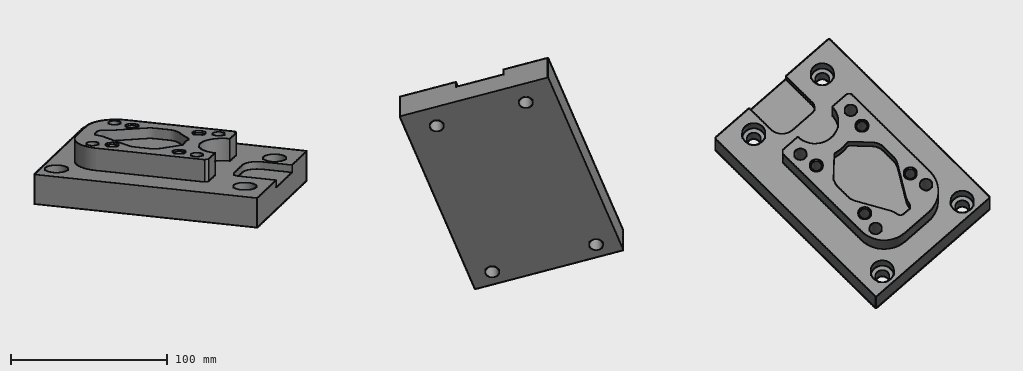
import cadquery as cq
import math

plate_length = 150.0
plate_width = 100.0
total_height = 35.0
boss_height = 15.0
plate_height = total_height - boss_height
plate_corner_chamfer = 0.5

boss_left = 15.0
boss_right = 110.0
boss_half_width = 30.0
boss_left_radius = 20.0
boss_right_chamfer = 2.0
notch_radius = 15.0

pocket_depth = 7.0
pocket_left = 25.0
pocket_half_width = 20.0
nose_half_width = 4.6
flare_start_half_width = 5.8
flare_start = 30.8
flare_angle = 30.0
wall_arc_radius = 25.0
wall_end_half_width = 6.0
taper_angle = 45.0
nose_radius = 3.0
flare_start_radius = 12.0
shoulder_radius = 10.0
wall_corner_radius = 2.0

slot_left = 120.0
slot_top = 20.0
slot_bottom = -12.0
slot_depth = 5.0
slot_top_radius = 10.0
slot_bottom_radius = 5.0

mount_diameter = 9.0
mount_bore_diameter = 15.0
mount_bore_depth = 9.0
mount_left_x = 10.0
mount_left_y = 35.0
mount_right_x = 135.0
mount_right_y = 30.0

drill_point_angle = 118.0
blind_depth = 20.0
dowel_diameter = 8.0
dowel_y = 22.0
dowel_x_places = (30.0, 100.0)
tap_diameter = 6.8
tap_countersink_diameter = 8.5
tap_y = 20.0
tap_x_places = (42.5, 87.5)


def mirrored_pairs(x_places, y):
    """Points at +y and -y for each x."""
    return [(x, side * y) for x in x_places for side in (1, -1)]


def make_plate():
    plate = cq.Workplane("XY").box(plate_length, plate_width, plate_height, centered=(False, True, False))
    return plate.edges("|Z").chamfer(plate_corner_chamfer)


def make_boss():
    boss = (
        cq.Workplane("XY", origin=(boss_left, 0, plate_height))
        .box(boss_right - boss_left, 2 * boss_half_width, boss_height, centered=(False, True, False))
        .edges("|Z and <X").fillet(boss_left_radius)
        .edges("|Z and >X").chamfer(boss_right_chamfer)
    )
    notch = (
        cq.Workplane("XY", origin=(boss_right, 0, plate_height))
        .circle(notch_radius)
        .extrude(boss_height)
    )
    return boss.cut(notch)


def round_corners(body, x, y, radius):
    """Fillet the upright pocket edges nearest to (x, y) and (x, -y)."""
    middle = total_height - pocket_depth / 2
    for side in (1, -1):
        body = body.edges(cq.NearestToPointSelector((x, side * y, middle))).fillet(radius)
    return body


def make_pocket():
    shoulder_run = (pocket_half_width - flare_start_half_width) / math.tan(math.radians(flare_angle))
    left_shoulder_x = flare_start + shoulder_run
    pocket_right = boss_right - wall_arc_radius
    wall_end_x = boss_right - math.sqrt(wall_arc_radius**2 - wall_end_half_width**2)
    taper_run = (pocket_half_width - wall_end_half_width) / math.tan(math.radians(taper_angle))
    right_shoulder_x = wall_end_x - taper_run
    blank = (
        cq.Workplane("XY", origin=(0, 0, total_height - pocket_depth))
        .moveTo(wall_end_x, -wall_end_half_width)
        .threePointArc((pocket_right, 0), (wall_end_x, wall_end_half_width))
        .lineTo(right_shoulder_x, pocket_half_width)
        .lineTo(left_shoulder_x, pocket_half_width)
        .lineTo(flare_start, flare_start_half_width)
        .lineTo(pocket_left, nose_half_width)
        .lineTo(pocket_left, -nose_half_width)
        .lineTo(flare_start, -flare_start_half_width)
        .lineTo(left_shoulder_x, -pocket_half_width)
        .lineTo(right_shoulder_x, -pocket_half_width)
        .close()
        .extrude(pocket_depth)
    )
    blank = round_corners(blank, right_shoulder_x, pocket_half_width, shoulder_radius)
    blank = round_corners(blank, left_shoulder_x, pocket_half_width, shoulder_radius)
    blank = round_corners(blank, flare_start, flare_start_half_width, flare_start_radius)
    blank = round_corners(blank, wall_end_x, wall_end_half_width, wall_corner_radius)
    return round_corners(blank, pocket_left, nose_half_width, nose_radius)


def make_slot():
    slot = (
        cq.Workplane("XY", origin=(slot_left, slot_bottom, plate_height - slot_depth))
        .box(plate_length - slot_left, slot_top - slot_bottom, slot_depth, centered=False)
    )
    slot = slot.edges("|Z and <X and >Y").fillet(slot_top_radius)
    return slot.edges("|Z and <X and <Y").fillet(slot_bottom_radius)


def make_blind_hole(diameter, countersink_diameter):
    """Drilled hole down from Z = 0 with a conical point and an optional 90 degree countersink."""
    radius = diameter / 2
    countersink_radius = countersink_diameter / 2
    point_depth = radius / math.tan(math.radians(drill_point_angle / 2))
    profile = cq.Workplane("XZ").moveTo(0, 0).lineTo(countersink_radius, 0)
    if countersink_radius > radius:
        profile = profile.lineTo(radius, radius - countersink_radius)
    profile = profile.lineTo(radius, -blind_depth).lineTo(0, -blind_depth - point_depth).close()
    return profile.revolve(360, (0, 0, 0), (0, 1, 0))


result = make_plate().union(make_boss()).cut(make_pocket()).cut(make_slot())

mount_points = mirrored_pairs([mount_left_x], mount_left_y) + mirrored_pairs([mount_right_x], mount_right_y)
result = (
    result.copyWorkplane(cq.Workplane("XY", origin=(0, 0, plate_height)))
    .pushPoints(mount_points)
    .cboreHole(mount_diameter, mount_bore_diameter, mount_bore_depth)
)

dowel_hole = make_blind_hole(dowel_diameter, dowel_diameter)
for x, y in mirrored_pairs(dowel_x_places, dowel_y):
    result = result.cut(dowel_hole.translate((x, y, total_height)))

tap_hole = make_blind_hole(tap_diameter, tap_countersink_diameter)
for x, y in mirrored_pairs(tap_x_places, tap_y):
    result = result.cut(tap_hole.translate((x, y, total_height)))